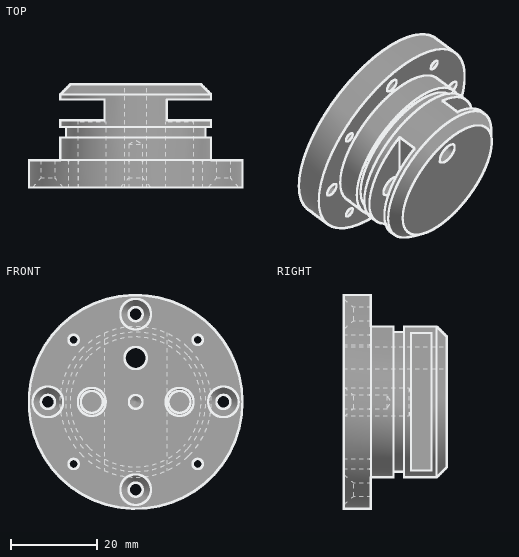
import cadquery as cq
import math

flange_diameter = 49.53
flange_thickness = 6.35
overall_length = 23.93
hub_diameter = 35.0
hub_chamfer = 2.38

groove_diameter = 32.4
groove_start = 11.6
groove_width = 2.38

slot_start = 15.6
slot_width = 4.76
web_thickness = 14.5

mount_circle_radius = 20.32
mount_hole_count = 4
screw_hole_diameter = 3.2
countersink_diameter = 7.1
countersink_angle = 82.0
pin_hole_diameter = 2.3

port_radius = mount_circle_radius / 2
through_port_diameter = 5.08
side_port_diameter = 6.5
side_port_opening_diameter = through_port_diameter
drill_point_angle = 118.0
center_hole_diameter = 3.2
center_hole_depth = 10.0


def turned_body():
    """Flange and chamfered hub with the O-ring groove."""
    hub_radius = hub_diameter / 2
    groove_radius = groove_diameter / 2
    groove_end = groove_start + groove_width
    profile = (
        cq.Workplane("XY")
        .lineTo(flange_diameter / 2, 0)
        .lineTo(flange_diameter / 2, flange_thickness)
        .lineTo(hub_radius, flange_thickness)
        .lineTo(hub_radius, groove_start)
        .lineTo(groove_radius, groove_start)
        .lineTo(groove_radius, groove_end)
        .lineTo(hub_radius, groove_end)
        .lineTo(hub_radius, overall_length - hub_chamfer)
        .lineTo(hub_radius - hub_chamfer, overall_length)
        .lineTo(0, overall_length)
        .close()
    )
    return profile.revolve(360, (0, 0, 0), (0, 1, 0))


def side_slot(side):
    """Slot cutter on one side of the web; side is -1 or +1 along X."""
    depth = (hub_diameter - web_thickness) / 2
    center_x = side * (web_thickness + depth) / 2
    return cq.Workplane("XY").box(depth, slot_width, hub_diameter).translate(
        (center_x, slot_start + slot_width / 2, 0)
    )


def cone_length(radius_change, included_angle):
    """Axial length over which a cone of the given included angle (degrees) changes its radius."""
    return radius_change / math.tan(math.radians(included_angle / 2))


def round_cutter(x, z, profile_points):
    """Cutter turned about the Y-parallel line through (x, z) from (radius, depth) points."""
    last_radius, last_depth = profile_points[-1]
    outline = cq.Workplane("XY").polyline([(0, 0), *profile_points])
    if last_radius > 0:
        outline = outline.lineTo(0, last_depth)
    outline = outline.close()
    return outline.revolve(360, (0, 0, 0), (0, 1, 0)).translate((x, 0, z))


def straight_hole(x, z, diameter, depth):
    """Plain cylindrical cutter from the flange face."""
    radius = diameter / 2
    return round_cutter(x, z, [(radius, 0), (radius, depth)])


def screw_hole(x, z):
    """Countersunk screw hole through the flange."""
    mouth_radius = countersink_diameter / 2
    radius = screw_hole_diameter / 2
    sink_depth = cone_length(mouth_radius - radius, countersink_angle)
    return round_cutter(x, z, [(mouth_radius, 0), (radius, sink_depth), (radius, flange_thickness)])


def side_port(x):
    """Drilled port whose pointed end breaks through into a side slot."""
    radius = side_port_diameter / 2
    opening_radius = side_port_opening_diameter / 2
    shoulder_depth = slot_start - cone_length(radius - opening_radius, drill_point_angle)
    return round_cutter(x, 0, [(radius, 0), (radius, shoulder_depth), (opening_radius, slot_start)])


def center_hole():
    """Blind center hole ending in a drill point."""
    radius = center_hole_diameter / 2
    tip_depth = center_hole_depth + cone_length(radius, drill_point_angle)
    return round_cutter(0, 0, [(radius, 0), (radius, center_hole_depth), (0, tip_depth)])


def on_mount_circle(angle):
    """Point (x, z) on the mounting circle at the given angle in degrees."""
    radians = math.radians(angle)
    return mount_circle_radius * math.cos(radians), mount_circle_radius * math.sin(radians)


result = turned_body()

for side in (-1, 1):
    result = result.cut(side_slot(side))
    result = result.cut(side_port(side * port_radius))

hole_spacing = 360 / mount_hole_count
for index in range(mount_hole_count):
    screw_x, screw_z = on_mount_circle(index * hole_spacing)
    result = result.cut(screw_hole(screw_x, screw_z))

    pin_x, pin_z = on_mount_circle((index + 0.5) * hole_spacing)
    result = result.cut(straight_hole(pin_x, pin_z, pin_hole_diameter, flange_thickness))

result = result.cut(straight_hole(0, port_radius, through_port_diameter, overall_length))
result = result.cut(center_hole())